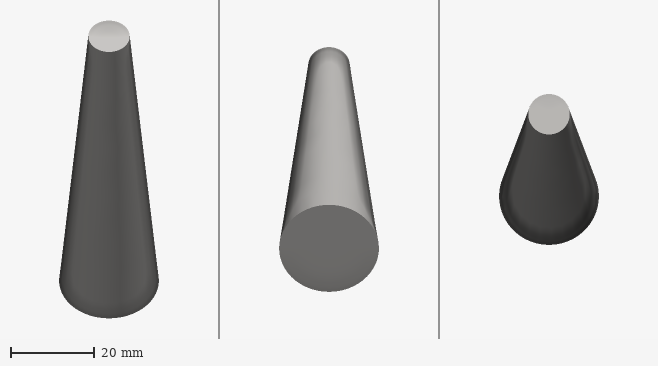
import cadquery as cq

height = 90.0
base_diameter = 24.0
tip_diameter = 10.0

result = (
    cq.Workplane("XY")
    .circle(base_diameter / 2)
    .workplane(offset=height)
    .circle(tip_diameter / 2)
    .loft(ruled=True)
)